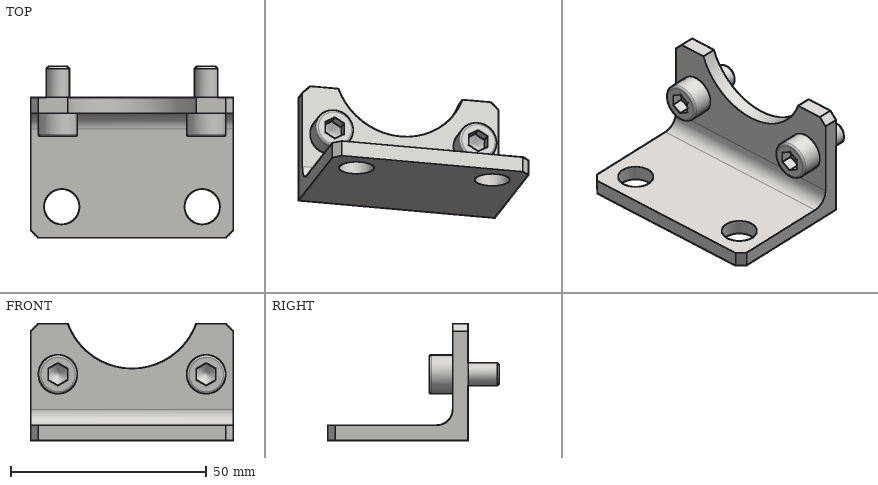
import cadquery as cq
import math

WIDTH = 52.0
BASE_LENGTH = 36.0
HEIGHT = 30.0
THICKNESS = 4.0
BEND_RADIUS = 4.0
CORNER_CHAMFER = 2.0

SADDLE_RADIUS = 17.5
SADDLE_CENTER_Z = 36.0

MOUNT_HOLE_DIAMETER = 9.0
MOUNT_HOLE_SPACING = 36.0
MOUNT_HOLE_FROM_EDGE = 8.0

SCREW_SPACING = 38.0
SCREW_Z = 17.0
SHANK_DIAMETER = 6.0
SHANK_PROTRUSION = 8.0
SHANK_CHAMFER = 0.6
HEAD_DIAMETER = 10.0
HEAD_HEIGHT = 6.0
HEAD_EDGE_RADIUS = 0.6
SOCKET_ACROSS_FLATS = 5.0
SOCKET_DEPTH = 3.0
SOCKET_CONE_ANGLE = 120.0


def make_bracket():
    """L-shaped plate with a filleted inner bend and chamfered free corners."""
    base = cq.Workplane("XY").box(WIDTH, BASE_LENGTH, THICKNESS, centered=(True, False, False))
    base = base.translate((0, -BASE_LENGTH, 0))
    base = base.edges("|Z and <Y").chamfer(CORNER_CHAMFER)

    upright = cq.Workplane("XY").box(WIDTH, THICKNESS, HEIGHT, centered=(True, False, False))
    upright = upright.translate((0, -THICKNESS, 0))
    upright = upright.edges("|Y and >Z").chamfer(CORNER_CHAMFER)

    inner_bend = cq.selectors.NearestToPointSelector((0, -THICKNESS, THICKNESS))
    return base.union(upright).edges("|X").edges(inner_bend).fillet(BEND_RADIUS)


def cut_saddle(body):
    """Cut the round recess into the top of the upright leg."""
    saddle = (
        cq.Workplane("XZ")
        .center(0, SADDLE_CENTER_Z)
        .circle(SADDLE_RADIUS)
        .extrude(THICKNESS)
    )
    return body.cut(saddle)


def cut_mount_holes(body):
    """Cut the two through holes near the free edge of the base leg."""
    hole_y = MOUNT_HOLE_FROM_EDGE - BASE_LENGTH
    half_spacing = MOUNT_HOLE_SPACING / 2
    holes = (
        cq.Workplane("XY")
        .pushPoints([(-half_spacing, hole_y), (half_spacing, hole_y)])
        .circle(MOUNT_HOLE_DIAMETER / 2)
        .extrude(THICKNESS)
    )
    return body.cut(holes)


def make_socket():
    """Hexagonal socket with a conical bottom, opening at z = 0 and going toward -Z."""
    corner_radius = SOCKET_ACROSS_FLATS / 2 / math.cos(math.pi / 6)
    cone_depth = corner_radius / math.tan(math.radians(SOCKET_CONE_ANGLE / 2))
    tip_depth = SOCKET_DEPTH + cone_depth
    hexagon = cq.Workplane("XY").polygon(6, 2 * corner_radius).extrude(-tip_depth)
    hexagon = hexagon.rotate((0, 0, 0), (0, 0, 1), 90)
    pointed_bore = (
        cq.Workplane("XZ")
        .polyline([(0, 0), (corner_radius, 0), (corner_radius, -SOCKET_DEPTH), (0, -tip_depth)])
        .close()
        .revolve(360, (0, 0), (0, 1))
    )
    return hexagon.intersect(pointed_bore)


def make_screw():
    """Cap screw along Z: underside of the head at z = 0, head upward, shank downward."""
    head = cq.Workplane("XY").circle(HEAD_DIAMETER / 2).extrude(HEAD_HEIGHT)
    head = head.faces(">Z").edges().fillet(HEAD_EDGE_RADIUS)
    head = head.cut(make_socket().translate((0, 0, HEAD_HEIGHT)))

    shank_length = THICKNESS + SHANK_PROTRUSION
    shank = cq.Workplane("XY").circle(SHANK_DIAMETER / 2).extrude(-shank_length)
    shank = shank.faces("<Z").edges().chamfer(SHANK_CHAMFER)
    return head.union(shank)


def add_screws(body):
    """Seat a screw on each side of the saddle, heads on the inner face of the upright leg."""
    screw = make_screw().rotate((0, 0, 0), (1, 0, 0), 90)
    for side in (-1, 1):
        body = body.union(screw.translate((side * SCREW_SPACING / 2, -THICKNESS, SCREW_Z)))
    return body


result = add_screws(cut_mount_holes(cut_saddle(make_bracket())))